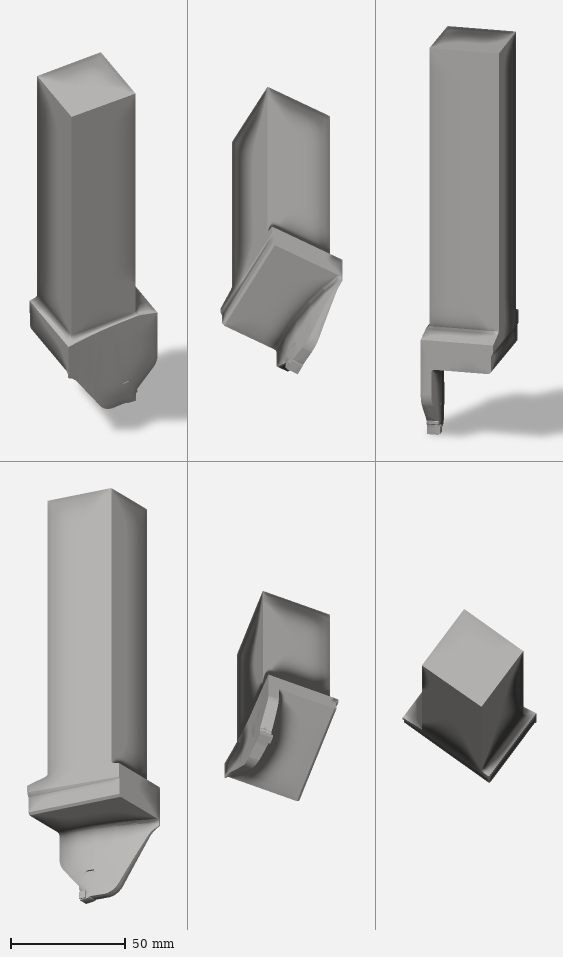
import cadquery as cq
import math

total_height = 177.8
depth = 46.2

shank_size = 32.0
shank_front = 4.0
shank_back = shank_front + shank_size
shank_right = 31.5

head_bottom = 33.5
shoulder_z = 49.0
shoulder_drop = 0.4
back_edge_z = 46.8
shoulder_fillet = 1.6
back_slope_top = 49.5
back_fillet = 1.0
head_width = 35.7
left_lean = 0.5
step_top = 43.5
step_bottom = 41.6
step_inset = 0.9
bottom_chamfer = 1.0

outer_face_x = 32.7
outer_tangent_y = 36.6
inner_face_x = 27.4
inner_radius = 90.7
inner_tangent_y = 37.0
outer_bulge = head_width - outer_face_x
outer_radius = (outer_tangent_y**2 + outer_bulge**2) / (2 * outer_bulge)
blade_bottom = 1.0
blade_root_fillet = 1.5

front_rounding = [(0, 30.5), (2.8, 28.5), (5.2, 25.2)]
nose_rounding = [(17.0, 5.5), (19.4, 2.8), (23.5, blade_bottom)]
back_rounding = [(44.5, 16.2), (45.7, 18.5), (depth, 21.3)]

insert_tip_y = 35.5
insert_foot_y = 31.0
insert_heel_y = 36.1
insert_heel_z = 5.0
insert_shoulder_z = 6.0
insert_top = 12.8
insert_top_back_y = 32.4
insert_top_front_y = 28.8
back_bevel = (1.0, 1.5)
front_bevel = (0.7, 2.1)
seat_clearance = 0.5
lip_x = 26.7
lip_thickness = 2.5
lip_inner_y = 32.5
lip_bottom = 0.5
lip_top = 4.0


def face_x(y, apex_x, tangent_y, radius):
    """X of an arc face that curves toward +X on both sides of its tangent point."""
    return apex_x + radius - math.sqrt(radius**2 - (y - tangent_y) ** 2)


def outer_x(y):
    return face_x(y, outer_face_x, outer_tangent_y, outer_radius)


def inner_x(y):
    return face_x(y, inner_face_x, inner_tangent_y, inner_radius)


def close_along_outer_face(outline):
    """Finish a plan outline from its front left corner along the curved right side."""
    return (
        outline.lineTo(head_width, 0)
        .threePointArc((outer_x(outer_tangent_y / 2), outer_tangent_y / 2), (outer_face_x, outer_tangent_y))
        .lineTo(outer_face_x, depth)
        .close()
    )


def make_shank_and_head():
    """Intersect the plan, the side outline and the front outline."""
    plan_start = cq.Workplane("XY").moveTo(0, depth).lineTo(left_lean, 0)
    plan = close_along_outer_face(plan_start).extrude(total_height)

    corner = shoulder_fillet * (1 - math.sqrt(0.5))
    fillet_top = shoulder_z + shoulder_fillet
    side = (
        cq.Workplane("YZ")
        .moveTo(0, head_bottom)
        .lineTo(0, shoulder_z - shoulder_drop)
        .lineTo(shank_front - shoulder_fillet, shoulder_z)
        .threePointArc((shank_front - corner, shoulder_z + corner), (shank_front, fillet_top))
        .lineTo(shank_front, total_height)
        .lineTo(shank_back, total_height)
        .lineTo(shank_back, back_slope_top + back_fillet / 2)
        .lineTo(shank_back + back_fillet, back_slope_top - back_fillet / 4)
        .lineTo(depth, back_edge_z)
        .lineTo(depth, head_bottom)
        .close()
        .extrude(head_width)
    )

    front = (
        cq.Workplane("XZ")
        .moveTo(0, total_height)
        .lineTo(shank_right, total_height)
        .lineTo(shank_right, fillet_top)
        .threePointArc(
            (shank_right + corner, shoulder_z + corner),
            (shank_right + shoulder_fillet, shoulder_z),
        )
        .lineTo(head_width, shoulder_z - shoulder_drop)
        .lineTo(head_width, head_bottom)
        .lineTo(step_inset + bottom_chamfer, head_bottom)
        .lineTo(step_inset, head_bottom + bottom_chamfer)
        .lineTo(step_inset, step_bottom)
        .lineTo(0, step_top)
        .close()
        .extrude(-depth)
    )
    return plan.intersect(side).intersect(front)


def make_blade_stock():
    """Crescent between the two arc faces, from the tip level up to the head."""
    outline = (
        cq.Workplane("XY")
        .moveTo(inner_x(depth), depth)
        .threePointArc((inner_x(depth / 2), depth / 2), (inner_x(0), 0))
    )
    return close_along_outer_face(outline).extrude(head_bottom)


def make_blade_outline():
    """Side outline of the blade, with a rounded nose and a rounded back corner."""
    return (
        cq.Workplane("YZ")
        .moveTo(0, head_bottom)
        .lineTo(*front_rounding[0])
        .threePointArc(*front_rounding[1:])
        .lineTo(*nose_rounding[0])
        .threePointArc(*nose_rounding[1:])
        .lineTo(insert_foot_y, blade_bottom)
        .lineTo(insert_tip_y, insert_shoulder_z)
        .lineTo(*back_rounding[0])
        .threePointArc(*back_rounding[1:])
        .lineTo(depth, head_bottom)
        .close()
        .extrude(head_width)
    )


def make_insert_outline(top):
    """Slanted insert bar with a bevelled top at the given height and an upright cutting end."""
    return (
        cq.Workplane("YZ")
        .polyline(
            [
                (insert_tip_y, 0),
                (insert_tip_y, insert_heel_z - (insert_heel_y - insert_tip_y)),
                (insert_heel_y, insert_heel_z),
                (insert_heel_y, insert_shoulder_z),
                (insert_top_back_y + back_bevel[0], insert_top - back_bevel[1]),
                (insert_top_back_y, top),
                (insert_top_front_y, top),
                (insert_top_front_y - front_bevel[0], insert_top - front_bevel[1]),
                (insert_foot_y, lip_bottom),
            ]
        )
        .close()
        .extrude(head_width)
    )


def make_root_fillet():
    """Concave fillet where the inner blade face meets the underside of the head."""
    band_bottom = head_bottom - blade_root_fillet
    root_radius = inner_radius + blade_root_fillet
    center = (inner_face_x + inner_radius, inner_tangent_y)
    ring = (
        cq.Workplane("XY")
        .workplane(offset=band_bottom)
        .center(*center)
        .circle(root_radius)
        .circle(inner_radius - blade_root_fillet / 2)
        .extrude(blade_root_fillet)
    )
    cove_center = cq.Vector(*center, band_bottom)
    cove = cq.Workplane(cq.Solid.makeTorus(root_radius, blade_root_fillet, cove_center, cq.Vector(0, 0, 1)))
    root_zone = cq.Workplane("XY").box(head_width, depth, head_bottom, centered=False)
    return ring.cut(cove).intersect(root_zone)


def make_lip():
    """Cutting lip that stands proud of the inner blade face."""
    lip_size = (lip_thickness, insert_tip_y - lip_inner_y, lip_top - lip_bottom)
    return cq.Workplane("XY").box(*lip_size, centered=False).translate((lip_x, lip_inner_y, lip_bottom))


blade_stock = make_blade_stock()
insert_outline = make_insert_outline(insert_top)
seat_outline = make_insert_outline(insert_top + seat_clearance)
lip = make_lip()

blade = blade_stock.intersect(make_blade_outline()).cut(seat_outline).cut(lip)
holder = make_shank_and_head().union(blade).union(make_root_fillet())
insert = blade_stock.intersect(insert_outline).union(lip)

result = cq.Compound.makeCompound([holder.val(), insert.val()])